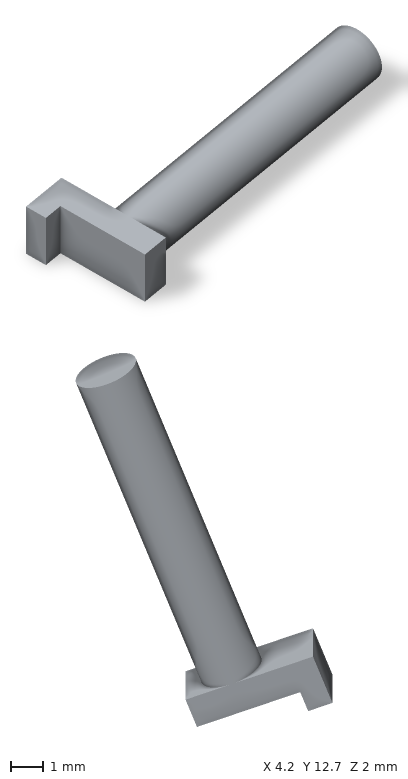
import cadquery as cq

total_length = 12.7
head_width = 4.2
pin_diameter = 2.0

head_height = pin_diameter
plate_thickness = 1.0
hook_width = 0.8
hook_length = 0.7

pin_length = total_length - plate_thickness - hook_length
head_left_to_axis = 2.69
head_left = -head_left_to_axis
head_right = head_left + head_width

head = (
    cq.Workplane("XY")
    .moveTo(head_left, 0)
    .lineTo(head_right, 0)
    .lineTo(head_right, -plate_thickness)
    .lineTo(head_left + hook_width, -plate_thickness)
    .lineTo(head_left + hook_width, -plate_thickness - hook_length)
    .lineTo(head_left, -plate_thickness - hook_length)
    .close()
    .extrude(head_height / 2, both=True)
)

pin = cq.Workplane("XZ").circle(pin_diameter / 2).extrude(-pin_length)

result = head.union(pin)